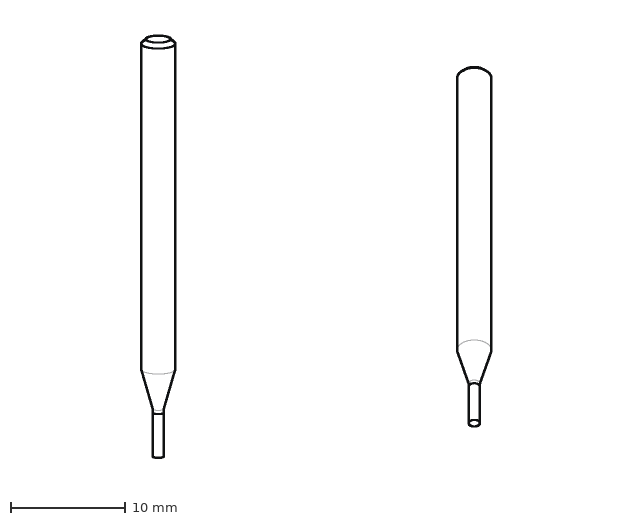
import cadquery as cq

total_length = 38.1
shank_diameter = 3.0
tip_diameter = 1.0
tip_length = 4.0
neck_length = 0.35
taper_length = 3.62
end_chamfer = 0.42

neck_top = tip_length + neck_length
taper_top = neck_top + taper_length
shank_radius = shank_diameter / 2
tip_radius = tip_diameter / 2


def make_tip():
    """Plain round cutting tip, standing on the XY plane."""
    return cq.Workplane("XY").circle(tip_radius).extrude(tip_length)


def make_shank():
    """Turned shank: short neck, taper, long cylinder and chamfered end."""
    half_profile = (
        cq.Workplane("XZ")
        .moveTo(0, tip_length)
        .lineTo(tip_radius, tip_length)
        .lineTo(tip_radius, neck_top)
        .lineTo(shank_radius, taper_top)
        .lineTo(shank_radius, total_length)
        .lineTo(0, total_length)
        .close()
    )
    shank = half_profile.revolve(360, (0, 0), (0, 1))
    return shank.faces(">Z").edges().chamfer(end_chamfer)


tip = make_tip()
shank = make_shank()

result = cq.Compound.makeCompound([tip.val(), shank.val()])